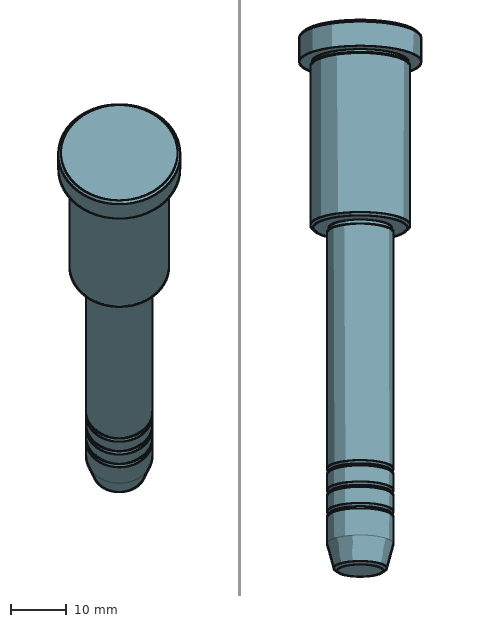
import cadquery as cq

total_length = 100.0
head_height = 5.0
shank_length = 64.0
head_base = total_length - head_height

head_radius = 11.0
body_radius = 9.0
shank_radius = 6.0

edge_chamfer = 0.5

head_relief_depth = 0.3
head_relief_neck = 0.5
head_relief_width = 0.8

shank_relief_depth = 0.3
shank_relief_width = 0.8

groove_count = 3
first_groove_base = 10.0
groove_pitch = 4.0
groove_width = 1.0
groove_depth = 0.4

taper_length = 5.0
taper_angle = 15.0


def stepped_pin():
    """Head, body and shank stacked along Z, with a chamfered, tapered tip."""
    head = (
        cq.Workplane("XY").workplane(offset=head_base).circle(head_radius).extrude(head_height)
        .faces(">Z").edges().chamfer(edge_chamfer)
    )
    body = (
        cq.Workplane("XY").workplane(offset=shank_length)
        .circle(body_radius).extrude(head_base - shank_length)
        .faces("<Z").edges().chamfer(edge_chamfer)
    )
    shank = (
        cq.Workplane("XY").workplane(offset=taper_length)
        .circle(shank_radius).extrude(shank_length - taper_length)
    )
    tip = (
        cq.Workplane("XY").workplane(offset=taper_length)
        .circle(shank_radius).extrude(-taper_length, taper=taper_angle)
        .faces("<Z").edges().chamfer(edge_chamfer)
    )
    return head.union(body).union(shank).union(tip)


def ring(profile):
    """Revolve a closed (radius, height) profile about the Z axis."""
    return cq.Workplane("XZ").polyline(profile).close().revolve(360, (0, 0), (0, 1))


def head_relief():
    """Undercut below the head, sloping back out to the body."""
    neck_radius = body_radius - head_relief_depth
    return ring([
        (neck_radius, head_base),
        (head_radius, head_base),
        (head_radius, head_base - head_relief_width),
        (body_radius, head_base - head_relief_width),
        (neck_radius, head_base - head_relief_neck),
    ])


def shank_relief():
    """Plain cylindrical undercut at the top of the shank."""
    relief_base = shank_length - shank_relief_width
    neck_radius = shank_radius - shank_relief_depth
    return ring([
        (neck_radius, shank_length),
        (body_radius, shank_length),
        (body_radius, relief_base),
        (neck_radius, relief_base),
    ])


def shank_groove(base):
    """V-shaped ring groove whose lower edge is at height base."""
    return ring([
        (shank_radius, base),
        (shank_radius - groove_depth, base + groove_width / 2),
        (shank_radius, base + groove_width),
        (head_radius, base + groove_width),
        (head_radius, base),
    ])


result = stepped_pin().cut(head_relief()).cut(shank_relief())
for index in range(groove_count):
    result = result.cut(shank_groove(first_groove_base + index * groove_pitch))